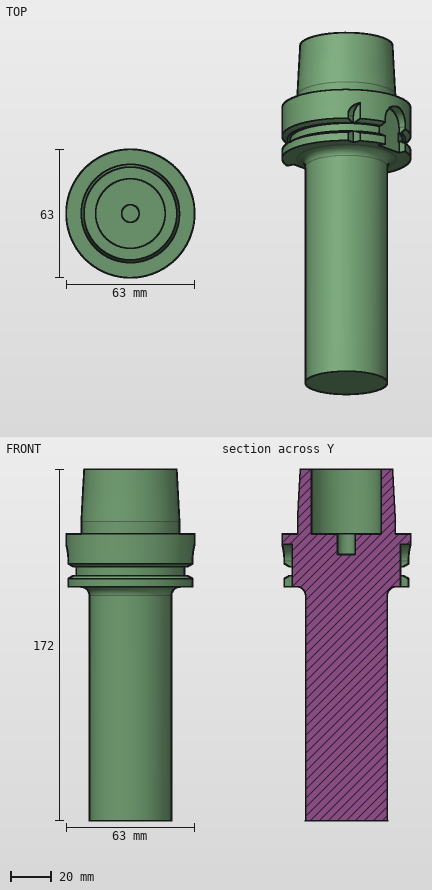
import cadquery as cq
import math

total_height = 172.0
flange_radius = 31.5
shank_radius = 20.1

taper_top_radius = 22.7
neck_radius = 24.0
taper_height = 25.5
neck_height = 6.2
bore_radius = 17.0
bore_depth = taper_height + neck_height
coolant_radius = 4.3
coolant_depth = 10.0

flange_height = 26.0
flange_top = total_height - taper_height - neck_height
flange_bottom = flange_top - flange_height
groove_radius = 27.5
groove_shoulder_radius = 28.9
rim_height = 4.1
groove_opening_bottom = flange_bottom + rim_height
groove_opening_top = flange_bottom + 11.4
groove_flank_height = (flange_radius - groove_shoulder_radius) * math.tan(math.radians(30))
groove_lower_shoulder = groove_opening_bottom + groove_flank_height
groove_upper_shoulder = groove_opening_top - groove_flank_height
shank_fillet = 4.1

drive_slot_width = 16.0
drive_slot_floor = 26.5
drive_slot_height = 20.8

notch_radius = 6.9
notch_floor_y = 20.0
notch_inner_wall_x = -20.1
notch_arc_height = 13.0


def turned_body():
    """Revolve the outer profile, from the shank end up to the taper."""
    arc_middle = shank_fillet * (1 - math.sqrt(0.5))
    return (
        cq.Workplane("XZ")
        .lineTo(shank_radius, 0)
        .lineTo(shank_radius, flange_bottom - shank_fillet)
        .threePointArc(
            (shank_radius + arc_middle, flange_bottom - arc_middle),
            (shank_radius + shank_fillet, flange_bottom),
        )
        .lineTo(flange_radius, flange_bottom)
        .lineTo(flange_radius, groove_opening_bottom)
        .lineTo(groove_shoulder_radius, groove_lower_shoulder)
        .lineTo(groove_radius, groove_lower_shoulder)
        .lineTo(groove_radius, groove_upper_shoulder)
        .lineTo(groove_shoulder_radius, groove_upper_shoulder)
        .lineTo(flange_radius, groove_opening_top)
        .lineTo(flange_radius, flange_top)
        .lineTo(neck_radius, flange_top)
        .lineTo(neck_radius, flange_top + neck_height)
        .lineTo(taper_top_radius, total_height)
        .lineTo(0, total_height)
        .close()
        .revolve(360, (0, 0, 0), (0, 1, 0))
    )


def round_topped_slot(workplane, center, width, arc_height, depth):
    """Slot open at the flange bottom and closed by a half circle on top."""
    radius = width / 2
    arc_center_z = flange_bottom + arc_height
    return (
        cq.Workplane(workplane)
        .moveTo(center - radius, flange_bottom)
        .lineTo(center - radius, arc_center_z)
        .threePointArc((center, arc_center_z + radius), (center + radius, arc_center_z))
        .lineTo(center + radius, flange_bottom)
        .close()
        .extrude(depth)
    )


def drive_slot(side):
    """Cutter for one drive slot; side is +1 for +X and -1 for -X."""
    arc_height = drive_slot_height - drive_slot_width / 2
    cutter = round_topped_slot("YZ", 0, drive_slot_width, arc_height, side * flange_radius)
    return cutter.translate((side * drive_slot_floor, 0, 0))


def orientation_notch():
    """Cutter for the notch, which runs out of the flange on its -X side."""
    center_x = notch_inner_wall_x - notch_radius
    cutter = round_topped_slot("XZ", center_x, 2 * notch_radius, notch_arc_height, -flange_radius)
    return cutter.translate((0, notch_floor_y, 0))


def top_hole(radius, depth):
    """Round hole cutter along the axis, from the top face down."""
    return cq.Workplane("XY").workplane(offset=total_height - depth).circle(radius).extrude(depth)


result = turned_body()
for side in (-1, 1):
    result = result.cut(drive_slot(side))
result = result.cut(orientation_notch())
result = result.cut(top_hole(bore_radius, bore_depth))
result = result.cut(top_hole(coolant_radius, bore_depth + coolant_depth))